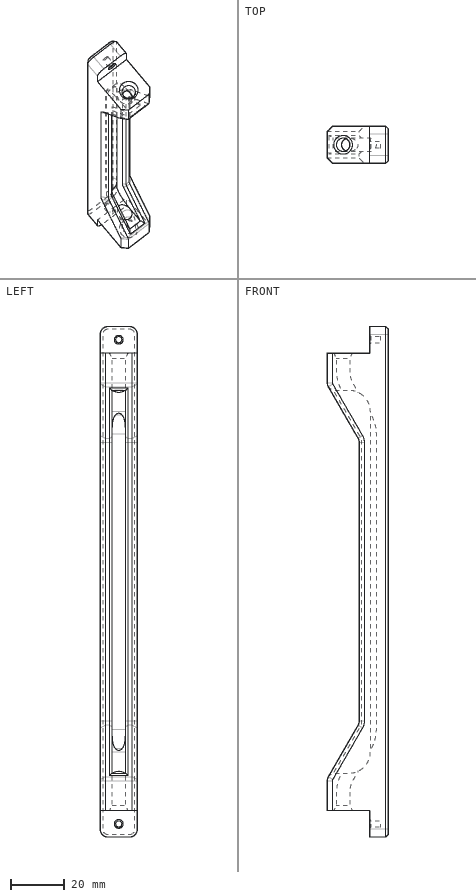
import cadquery as cq
import math

length = 192.0
depth = 23.0
width = 14.0

tab_length = 10.0
tab_thickness = 7.0
tab_corner_radius = 3.0
back_chamfer = 1.0
screw_hole_diameter = 2.3
screw_hole_depth = 4.0
screw_hole_inset = 5.0
screw_hole_chamfer = 0.5

block_straight = 12.0
bar_front_x = 12.0
slope_angle = math.radians(30)
bend_radius = 3.0
front_chamfer = 2.0

slot_width = 5.0
slot_floor_x = 16.2
slot_end_inset = 24.0
slot_corner_radius = 8.0
slot_rim_chamfer = 1.0

cable_diameter = 5.0
channel_axis_x = 16.0
bore_x = 6.0
cable_bend_radius = 12.0
cable_bend_inset = 40.5
mouth_diameter = 7.0
mouth_depth = 2.0

cut_overshoot = 1.0
pick_margin = 0.1

half_length = length / 2
half_width = width / 2
tab_front_x = depth - tab_thickness
block_z = half_length - tab_length
slope_start_z = block_z - block_straight
slope_end_z = slope_start_z - bar_front_x / math.tan(slope_angle)
slot_end_z = half_length - slot_end_inset
cable_bend_z = half_length - cable_bend_inset


def make_body():
    """Side outline pulled through the width, with rounded tabs and rounded front bends."""
    upper_half = [
        (depth, half_length),
        (tab_front_x, half_length),
        (tab_front_x, block_z),
        (0, block_z),
        (0, slope_start_z),
        (bar_front_x, slope_end_z),
    ]
    lower_half = [(x, -z) for x, z in reversed(upper_half)]
    body = cq.Workplane("XZ").polyline(upper_half + lower_half).close().extrude(half_width, both=True)
    body = body.faces(">Z or <Z").edges("|X").fillet(tab_corner_radius)
    body = body.faces(">X").chamfer(back_chamfer)
    for side in (1, -1):
        for x, z in ((0, slope_start_z), (bar_front_x, slope_end_z)):
            bend = cq.selectors.NearestToPointSelector((x, 0, side * z))
            body = body.edges(bend).fillet(bend_radius)
    return body


def chamfer_front(body):
    """Chamfer the long front edges on both sides, from one block end to the other."""
    for side in (1, -1):
        edge_y = side * half_width
        front_edges = cq.selectors.BoxSelector(
            (-pick_margin, edge_y - pick_margin, -block_z + pick_margin),
            (bar_front_x + pick_margin, edge_y + pick_margin, block_z - pick_margin),
        )
        body = body.edges(front_edges).chamfer(front_chamfer)
    return body


def cut_slot(body):
    """Cut the front slot, rounded at its inner corners, and chamfer its rim."""
    slot = (
        cq.Workplane("XY")
        .box(slot_floor_x + cut_overshoot, slot_width, 2 * slot_end_z)
        .translate(((slot_floor_x - cut_overshoot) / 2, 0, 0))
        .edges(">X and |Y").fillet(slot_corner_radius)
    )
    body = body.cut(slot)
    pick_y = slot_width / 2 + pick_margin
    pick_z = slot_end_z + pick_margin
    rim = cq.selectors.BoxSelector(
        (-pick_margin, -pick_y, -pick_z), (bar_front_x + pick_margin, pick_y, pick_z)
    )
    return body.edges(rim).edges("not |X").chamfer(slot_rim_chamfer)


def arc_offset(angle):
    """X and Z travel along a cable bend that starts parallel to Z and turns by the angle."""
    return cable_bend_radius * (1 - math.cos(angle)), cable_bend_radius * math.sin(angle)


def upper_cable_channel():
    """Cable channel from mid-length through both bends to the flared mouth of the upper block."""
    middle_x, middle_z = arc_offset(slope_angle / 2)
    full_x, full_z = arc_offset(slope_angle)
    bend_tangent = cable_bend_radius * math.tan(slope_angle / 2)
    slope_rise = (channel_axis_x - bore_x) / math.tan(slope_angle)
    bore_bend_z = cable_bend_z + slope_rise + 2 * bend_tangent
    path = (
        cq.Workplane("XZ")
        .moveTo(channel_axis_x, 0)
        .lineTo(channel_axis_x, cable_bend_z)
        .threePointArc((channel_axis_x - middle_x, cable_bend_z + middle_z),
                       (channel_axis_x - full_x, cable_bend_z + full_z))
        .lineTo(bore_x + full_x, bore_bend_z - full_z)
        .threePointArc((bore_x + middle_x, bore_bend_z - middle_z), (bore_x, bore_bend_z))
        .lineTo(bore_x, block_z)
    )
    channel = cq.Workplane("XY").center(channel_axis_x, 0).circle(cable_diameter / 2).sweep(path)
    mouth_base = cq.Vector(bore_x, 0, block_z - mouth_depth)
    mouth = cq.Solid.makeCone(cable_diameter / 2, mouth_diameter / 2, mouth_depth, mouth_base)
    return channel.union(cq.Workplane("XY").add(mouth))


def upper_screw_hole():
    """Blind screw hole with a chamfered rim in the front of the upper tab."""
    center = cq.Vector(tab_front_x, 0, half_length - screw_hole_inset)
    inward = cq.Vector(1, 0, 0)
    radius = screw_hole_diameter / 2
    hole = cq.Solid.makeCylinder(radius, screw_hole_depth, center, inward)
    rim = cq.Solid.makeCone(radius + screw_hole_chamfer, radius, screw_hole_chamfer, center, inward)
    return cq.Workplane("XY").add(hole).union(cq.Workplane("XY").add(rim))


result = cut_slot(chamfer_front(make_body()))
for cutter in (upper_cable_channel(), upper_screw_hole()):
    result = result.cut(cutter).cut(cutter.mirror("XY"))